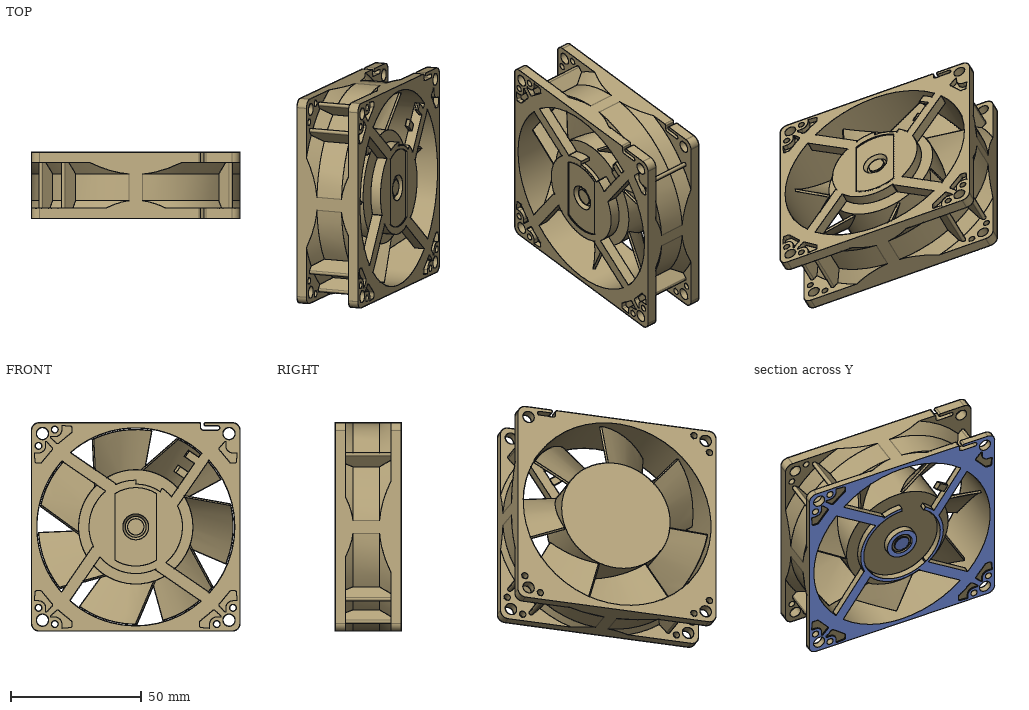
import cadquery as cq
import math

SIDE = 80.0
DEPTH = 25.4
FLANGE = 4.0
CORNER_RADIUS = 3.0

BORE_RADIUS = 37.9
DUCT_RADIUS = 40.1
DUCT_BLEND = 1.0
FRONT_FLARE_Y = -6.4
FRONT_FLARE_RADIUS = 41.6
REAR_FLARE_Y = 4.9
REAR_FLARE_RADIUS = 43.7

MOUNT_OFFSET = 35.8
MOUNT_DIAMETER = 4.6
SMALL_HOLE_NEAR = 31.0
SMALL_HOLE_FAR = 37.3
SMALL_HOLE_DIAMETER = 2.5

PIN_NEAR = 27.7
PIN_FAR = 36.3
PIN_DIAMETER = 1.6

POCKET_DEPTH = 2.0
POCKET_ARC_RADIUS = 2.7
POCKET_FILLET = 0.6
POCKET_TOP = 32.6
POCKET_TOP_INNER = 34.2
POCKET_ELBOW_X = 31.7
POCKET_ELBOW_Z = 30.0
POCKET_BOTTOM = 24.5
POCKET_BOTTOM_INNER = 36.2
POCKET_BOTTOM_OUTER = 38.6
POCKET_OUTER = 38.9

SLOT_LEFT = 24.9
SLOT_RIGHT = 32.2
SLOT_FLOOR = 37.1
SLOT_HEIGHT = 1.6
SLOT_LIP = 26.2
SLOT_MOUTH_ROUND = 0.6
SLOT_LIP_ROUND = 0.6
SLOT_CORNER_ROUND = 1.0

DISC_RADIUS = 17.9
DISC_PLATE = 1.6
DISC_BOSS_RADIUS = 6.4
NOTCH_RADIUS = 16.4
SPOKE_COUNT = 4
SPOKE_START = 15.5
SPOKE_WIDTH = 4.6
CABLE_SPOKE_WIDTH = 3.9
SPOKE_OFFSET = 7.0
SPOKE_ANGLE = 55.5

LABEL_RADIUS = 15.0
LABEL_WIDTH = 15.8
LABEL_DEPTH = 0.5
DIMPLE_RADIUS = 5.0
DIMPLE_FLOOR_RADIUS = 4.0
DIMPLE_DEPTH = 1.6

TAB_LENGTH = 4.8
TAB_WIDTH = 2.9
TAB_THICKNESS = 1.2
OUTER_TAB_START = 32.8
INNER_TAB_START = 25.8
INNER_TAB_SETBACK = 2.4
OUTER_TAB_BEVEL = 0.5
INNER_TAB_BEVEL = 1.0

HUB_RADIUS = 21.9
HUB_REAR_Y = 11.2
HUB_GAP = 1.5
SHAFT_RADIUS = 3.1
SHAFT_END_DEPTH = 1.3
BLADE_COUNT = 7
BLADE_TIP_RADIUS = 37.4
BLADE_THICKNESS = 0.6
BLADE_CAMBER = 1.2
BLADE_FRONT_Y = -6.8
BLADE_REAR_Y = 10.0
FIRST_BLADE_ANGLE = 98.6
BLADE_ROOT_DISTANCE = 16.0
BLADE_END_DISTANCE = 38.4
BLADE_ROOT_FRONT = 12.9
BLADE_ROOT_REAR = -5.0
BLADE_END_FRONT = 10.6
BLADE_END_REAR = -12.6

HALF = SIDE / 2
FRONT_Y = -DEPTH / 2
REAR_Y = DEPTH / 2
FRONT_FLANGE_Y = FRONT_Y + FLANGE
REAR_FLANGE_Y = REAR_Y - FLANGE
HUB_FRONT_Y = FRONT_FLANGE_Y + HUB_GAP
PLAIN_CORNERS = [(-1, 1), (-1, -1), (1, -1)]


def plane_at(y):
    """Sketch plane with local x = X and local y = Z; negative extrusions go toward +Y."""
    return cq.Workplane(cq.Plane(origin=(0, y, 0), xDir=(1, 0, 0), normal=(0, -1, 0)))


def cylinder(radius, y_start, y_end, x=0.0, z=0.0):
    return plane_at(y_start).center(x, z).circle(radius).extrude(y_start - y_end)


def spin(body, angle):
    """Turn a body counter-clockwise about the fan axis, as seen from the front."""
    return body.rotate((0, 0, 0), (0, -1, 0), angle)


def flange(y_start):
    plate = plane_at(y_start).rect(SIDE, SIDE).extrude(-FLANGE)
    return plate.edges("|Y").fillet(CORNER_RADIUS)


def duct():
    """Round duct that flares toward both flanges, trimmed to the square outline."""
    profile = (
        cq.Workplane("XY")
        .moveTo(0, FRONT_FLANGE_Y)
        .lineTo(FRONT_FLARE_RADIUS, FRONT_FLANGE_Y)
        .lineTo(DUCT_RADIUS, FRONT_FLARE_Y + DUCT_BLEND / 2)
        .lineTo(DUCT_RADIUS, REAR_FLARE_Y - DUCT_BLEND / 2)
        .lineTo(REAR_FLARE_RADIUS, REAR_FLANGE_Y)
        .lineTo(0, REAR_FLANGE_Y)
        .close()
    )
    barrel = profile.revolve(360, (0, 0, 0), (0, 1, 0))
    return barrel.intersect(cq.Workplane("XY").box(SIDE, DEPTH, SIDE))


def pin_places():
    """Two pins at each corner, but only the lower one beside the cable slot."""
    places = [(PIN_FAR, PIN_NEAR)]
    for sx, sz in PLAIN_CORNERS:
        places.append((sx * PIN_NEAR, sz * PIN_FAR))
        places.append((sx * PIN_FAR, sz * PIN_NEAR))
    return places


def pin_with_web(x, z):
    """Pin between the flanges with a web that runs diagonally into the duct."""
    web_length = (DUCT_RADIUS - BORE_RADIUS) + MOUNT_OFFSET * math.sqrt(2) - HALF
    diagonal = math.degrees(math.atan2(-math.copysign(1, z), -math.copysign(1, x)))
    web = (
        plane_at(FRONT_FLANGE_Y)
        .transformed(rotate=(0, 0, diagonal), offset=(x, z, 0))
        .center(web_length / 2, 0)
        .rect(web_length, PIN_DIAMETER)
        .extrude(FRONT_FLANGE_Y - REAR_FLANGE_Y)
    )
    return web.union(cylinder(PIN_DIAMETER / 2, FRONT_FLANGE_Y, REAR_FLANGE_Y, x, z))


def corner_holes():
    mount_places = [(sx * MOUNT_OFFSET, sz * MOUNT_OFFSET) for sx in (-1, 1) for sz in (-1, 1)]
    small_places = []
    for sx, sz in PLAIN_CORNERS:
        small_places.append((sx * SMALL_HOLE_NEAR, sz * SMALL_HOLE_FAR))
        small_places.append((sx * SMALL_HOLE_FAR, sz * SMALL_HOLE_NEAR))
    mounts = plane_at(FRONT_Y).pushPoints(mount_places).circle(MOUNT_DIAMETER / 2).extrude(-DEPTH)
    small = plane_at(FRONT_Y).pushPoints(small_places).circle(SMALL_HOLE_DIAMETER / 2).extrude(-DEPTH)
    return mounts.union(small)


def side_pocket():
    """Blind pocket below the +X +Z mounting hole, curved around the small hole place."""
    arc_x = SMALL_HOLE_FAR - POCKET_ARC_RADIUS * math.sqrt(0.5)
    arc_z = SMALL_HOLE_NEAR - POCKET_ARC_RADIUS * math.sqrt(0.5)
    inner_x = SMALL_HOLE_FAR - POCKET_ARC_RADIUS
    step_z = SMALL_HOLE_NEAR - POCKET_ARC_RADIUS
    pocket = (
        plane_at(FRONT_Y)
        .moveTo(inner_x, POCKET_TOP)
        .lineTo(inner_x, SMALL_HOLE_NEAR)
        .threePointArc((arc_x, arc_z), (SMALL_HOLE_FAR, step_z))
        .lineTo(POCKET_OUTER, step_z)
        .lineTo(POCKET_BOTTOM_OUTER, POCKET_BOTTOM)
        .lineTo(POCKET_BOTTOM_INNER, POCKET_BOTTOM)
        .lineTo(POCKET_ELBOW_X, POCKET_ELBOW_Z)
        .lineTo(POCKET_TOP_INNER, POCKET_TOP)
        .close()
        .extrude(-POCKET_DEPTH)
    )
    elbow = cq.selectors.BoxSelector((0, FRONT_Y, 0), (POCKET_ELBOW_X + 0.8, 0, HALF))
    bottom = cq.selectors.BoxSelector((0, FRONT_Y, 0), (HALF, 0, POCKET_BOTTOM + 0.8))
    return pocket.edges("|Y").edges(elbow + bottom).fillet(POCKET_FILLET)


def pockets():
    """Two pockets at each corner, but only the lower one beside the cable slot."""
    right = side_pocket()
    top_left = spin(right, 90)
    bottom_right = spin(right, -90)
    cut = right.union(right.mirror("XY")).union(bottom_right)
    for body in (top_left, right.mirror("YZ")):
        cut = cut.union(body).union(body.mirror("XY"))
    return cut


def cable_slot():
    """Hooked slot through both flanges, open at the top edge, with a rounded lip."""
    ceiling = SLOT_FLOOR + SLOT_HEIGHT
    end_radius = SLOT_HEIGHT / 2
    lip_top_round = HALF - ceiling - SLOT_LIP_ROUND
    outline = (
        plane_at(FRONT_Y)
        .moveTo(SLOT_LEFT - SLOT_MOUTH_ROUND, HALF)
        .radiusArc((SLOT_LEFT, HALF - SLOT_MOUTH_ROUND), SLOT_MOUTH_ROUND)
        .lineTo(SLOT_LEFT, SLOT_FLOOR + SLOT_CORNER_ROUND)
        .radiusArc((SLOT_LEFT + SLOT_CORNER_ROUND, SLOT_FLOOR), -SLOT_CORNER_ROUND)
        .lineTo(SLOT_RIGHT - end_radius, SLOT_FLOOR)
        .threePointArc((SLOT_RIGHT, SLOT_FLOOR + end_radius), (SLOT_RIGHT - end_radius, ceiling))
        .lineTo(SLOT_LIP + SLOT_LIP_ROUND, ceiling)
        .radiusArc((SLOT_LIP, ceiling + SLOT_LIP_ROUND), SLOT_LIP_ROUND)
        .radiusArc((SLOT_LIP + lip_top_round, HALF), lip_top_round)
        .close()
    )
    return outline.extrude(-DEPTH)


def spoke_block(start, end, side, width, y_start, y_end):
    """Block measured along (start to end) and across the spoke, before the spoke is turned."""
    return (
        plane_at(y_start)
        .center((start + end) / 2, side + width / 2)
        .rect(end - start, width)
        .extrude(y_start - y_end)
    )


def spoke(width):
    left_side = -SPOKE_OFFSET + SPOKE_WIDTH / 2
    return spoke_block(SPOKE_START, BORE_RADIUS, left_side - width, width, FRONT_Y, FRONT_FLANGE_Y)


def cable_tab(start, y_start, bevel):
    """Cable tab beside the spoke, with its free end beveled on the front."""
    left_side = -SPOKE_OFFSET + SPOKE_WIDTH / 2
    tab = spoke_block(start, start + TAB_WIDTH, left_side, TAB_LENGTH, y_start, y_start + TAB_THICKNESS)
    return tab.faces("<Y").edges(">Z").chamfer(bevel)


def wire_notch():
    """Gap in the rim of the disc, from straight up to the +X +Z spoke."""
    rim = cylinder(DISC_RADIUS, FRONT_Y, FRONT_FLANGE_Y)
    ring = rim.cut(cylinder(NOTCH_RADIUS, FRONT_Y, FRONT_FLANGE_Y))
    spoke_lean = math.radians(SPOKE_ANGLE)
    spoke_end = (HALF * math.cos(spoke_lean), HALF * math.sin(spoke_lean))
    sector = plane_at(FRONT_Y).polyline([(0, 0), spoke_end, (0, HALF)]).close().extrude(-FLANGE)
    return ring.intersect(sector)


def disc():
    """Shallow cup, open toward the impeller, with a boss in the middle."""
    cavity_y = FRONT_Y + DISC_PLATE
    body = cylinder(DISC_RADIUS, FRONT_Y, FRONT_FLANGE_Y)
    cavity = cylinder(NOTCH_RADIUS, cavity_y, FRONT_FLANGE_Y)
    cavity = cavity.cut(cylinder(DISC_BOSS_RADIUS, cavity_y, FRONT_FLANGE_Y))
    return body.cut(cavity).cut(wire_notch())


def label_recess():
    slab = plane_at(FRONT_Y).rect(LABEL_WIDTH, SIDE).extrude(-LABEL_DEPTH)
    return slab.intersect(cylinder(LABEL_RADIUS, FRONT_Y, FRONT_Y + LABEL_DEPTH))


def dimple():
    """Tapered recess in the middle of the label face."""
    taper = math.degrees(math.atan2(DIMPLE_RADIUS - DIMPLE_FLOOR_RADIUS, DIMPLE_DEPTH))
    return plane_at(FRONT_Y + LABEL_DEPTH).circle(DIMPLE_RADIUS).extrude(-DIMPLE_DEPTH, taper=taper)


def motor_support():
    """Disc on four spokes; the spoke with the cable tabs is narrower than the others."""
    support = disc().union(spin(spoke(CABLE_SPOKE_WIDTH), SPOKE_ANGLE))
    for i in range(1, SPOKE_COUNT):
        support = support.union(spin(spoke(SPOKE_WIDTH), SPOKE_ANGLE + i * 360 / SPOKE_COUNT))
    outer_tab = cable_tab(OUTER_TAB_START, FRONT_Y, OUTER_TAB_BEVEL)
    inner_tab = cable_tab(INNER_TAB_START, FRONT_Y + INNER_TAB_SETBACK, INNER_TAB_BEVEL)
    for tab in (outer_tab, inner_tab):
        support = support.union(spin(tab, SPOKE_ANGLE))
    return support.cut(label_recess()).cut(dimple()).cut(shaft())


def frame_body():
    body = flange(FRONT_Y).union(flange(REAR_FLANGE_Y)).union(duct())
    for x, z in pin_places():
        body = body.union(pin_with_web(x, z))
    body = body.cut(cylinder(BORE_RADIUS, FRONT_Y, REAR_Y))
    body = body.cut(corner_holes()).cut(pockets()).cut(cable_slot())
    return body.union(motor_support())


def shaft():
    return cylinder(SHAFT_RADIUS, FRONT_Y + SHAFT_END_DEPTH, HUB_FRONT_Y)


def blade_section(distance, front, rear):
    """Curved blade section of even thickness, at one distance from the fan axis."""
    mid_side = (front + rear) / 2 + BLADE_CAMBER
    mid_y = (BLADE_FRONT_Y + BLADE_REAR_Y) / 2 + BLADE_CAMBER
    section_plane = cq.Plane(origin=(distance, 0, 0), xDir=(0, 0, 1), normal=(-1, 0, 0))
    section = (
        cq.Workplane(section_plane)
        .moveTo(front, BLADE_FRONT_Y)
        .threePointArc((mid_side, mid_y), (rear, BLADE_REAR_Y))
        .lineTo(rear + BLADE_THICKNESS, BLADE_REAR_Y + BLADE_THICKNESS)
        .threePointArc(
            (mid_side + BLADE_THICKNESS, mid_y + BLADE_THICKNESS),
            (front + BLADE_THICKNESS, BLADE_FRONT_Y + BLADE_THICKNESS),
        )
        .close()
    )
    return section.val()


def blade():
    """Twisted blade between two sections, pointing toward +X before it is turned."""
    root = blade_section(BLADE_ROOT_DISTANCE, BLADE_ROOT_FRONT, BLADE_ROOT_REAR)
    end = blade_section(BLADE_END_DISTANCE, BLADE_END_FRONT, BLADE_END_REAR)
    sheet = cq.Workplane(cq.Solid.makeLoft([root, end], True))
    return sheet.intersect(cylinder(BLADE_TIP_RADIUS, FRONT_Y, REAR_Y))


def impeller_body():
    body = cylinder(HUB_RADIUS, HUB_FRONT_Y, HUB_REAR_Y).union(shaft())
    for i in range(BLADE_COUNT):
        body = body.union(spin(blade(), FIRST_BLADE_ANGLE + i * 360 / BLADE_COUNT))
    return body


frame = frame_body()
impeller = impeller_body()
result = cq.Compound.makeCompound([frame.val(), impeller.val()])